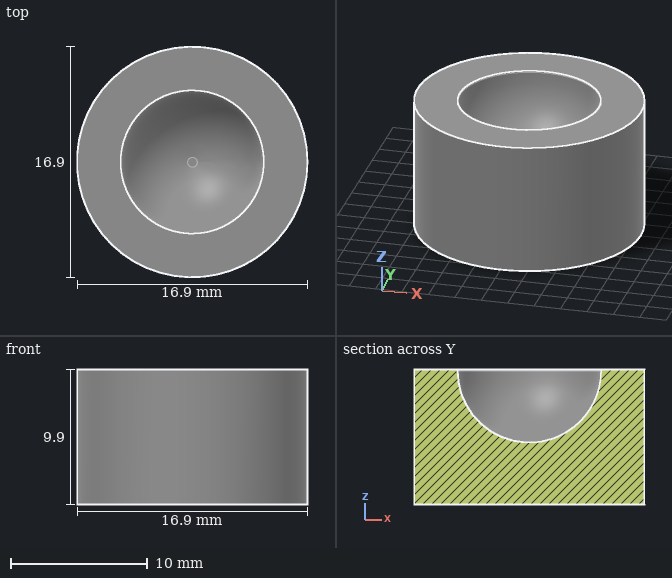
import cadquery as cq
import math

outer_diameter = 16.9
height = 9.9
socket_diameter = 10.5
rim_depth = 0.1
flat_diameter = 0.71

socket_radius = socket_diameter / 2
flat_radius = flat_diameter / 2
ball_center_z = height - rim_depth
flat_z = ball_center_z - math.sqrt(socket_radius**2 - flat_radius**2)
arc_mid_x = socket_radius * math.sin(math.pi / 4)
arc_mid_z = ball_center_z - socket_radius * math.cos(math.pi / 4)


def make_body():
    """Plain cylinder standing on the XY plane."""
    return cq.Workplane("XY").circle(outer_diameter / 2).extrude(height)


def make_socket():
    """Half profile of the socket, revolved about Z: flat, round floor, straight wall."""
    profile = (
        cq.Workplane("XZ")
        .moveTo(0, flat_z)
        .lineTo(flat_radius, flat_z)
        .threePointArc((arc_mid_x, arc_mid_z), (socket_radius, ball_center_z))
        .lineTo(socket_radius, height)
        .lineTo(0, height)
        .close()
    )
    return profile.revolve(360, (0, 0, 0), (0, 1, 0))


result = make_body().cut(make_socket())